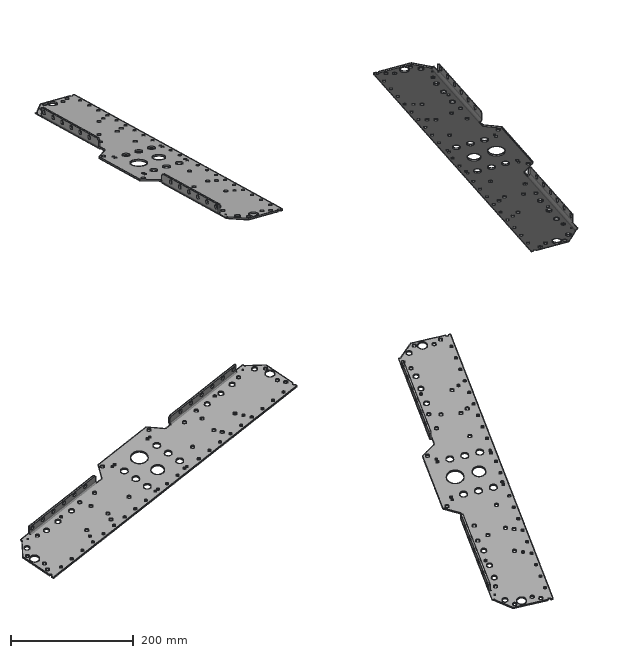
import cadquery as cq
import math

INCH = 25.4
PITCH = INCH
LENGTH = 23 * PITCH
DEPTH = 4.625 * INCH
THICKNESS = INCH / 8
HALF_LENGTH = LENGTH / 2

BEND_INNER_RADIUS = 1.75
BEND_OUTER_RADIUS = BEND_INNER_RADIUS + THICKNESS
FLANGE_FACE_Y = -96.7
BEND_LINE_Y = FLANGE_FACE_Y + BEND_OUTER_RADIUS
TAB_END_X = 10.5 * PITCH
CORNER_STEP = 1.6
TONGUE_ROOT_HALF_WIDTH = 76.2
TONGUE_TIP_HALF_WIDTH = 57.5
TONGUE_FILLET = 4.0

FLANGE_HEIGHT = 0.75 * INCH
FLANGE_INNER_X = 3.5 * PITCH
FLANGE_OUTER_X = 9.75 * PITCH
FLANGE_CHAMFER = 3.0
FLANGE_HOLE_COUNT = 6
FLANGE_HOLE_DIAMETER = 7.11
FLANGE_HOLE_Z = FLANGE_HEIGHT * 2 / 3
FLANGE_FIRST_HOLE_X = 4.5 * PITCH

REAR_HOLE_DIAMETER = 5.11
REAR_HOLE_Y = -INCH / 4
REAR_ROW_STEPS = 12
REAR_ROW_SKIPPED_STEP = 1

REAR_OPENING_DIAMETER = 22.225
REAR_OPENING_Y = -38.9
FRONT_OPENING_DIAMETER = 28.57
FRONT_OPENING_Y = -79.375

COLUMN_HOLE_DIAMETER = 12.7
COLUMN_X = 38.9
COLUMN_FIRST_Y = -26.0
COLUMN_HOLE_COUNT = 3

SMALL_PIN_DIAMETER = 4.06
SMALL_PIN_PLACES = [(37.8, -8.9), (44.9, -97.9)]
LARGE_PIN_DIAMETER = 5.08
LARGE_PIN_PLACES = [(32.0, -8.9), (39.2, -97.9), (184.15, -19.05), (184.15, -82.55)]
TAB_HOLE_DIAMETER = 2.54
TAB_HOLE_PLACES = [(257.8, -88.9)]
TONGUE_HOLE_DIAMETER = 6.81
TONGUE_HOLE_PLACES = [(55.8, -109.9)]
END_HOLE_DIAMETER = 15.88
END_HOLE_PLACES = [(282.2, -50.8)]
FRONT_HOLE_DIAMETER = 9.63
FRONT_HOLE_PLACES = [(273.05, -76.2), (222.6, -79.375), (195.3, -79.375), (162.8, -79.375)]
BOLT_HOLE_DIAMETER = 6.71
BOLT_HOLE_PLACES = [
    (285.75, -19.05),
    (285.75, -63.5),
    (279.4, -31.75),
    (241.3, -82.55),
    (177.8, -31.75),
    (139.7, -82.55),
    (133.35, -19.05),
    (133.35, -63.5),
    (127.0, -31.75),
    (107.6, -79.0),
    (76.2, -31.75),
]


def make_half_plate():
    """Flat plate on the +X side, with the flange strip cut back to the bend line."""
    corner_x = TAB_END_X + CORNER_STEP
    outline = [
        (0, 0),
        (HALF_LENGTH, 0),
        (HALF_LENGTH, BEND_LINE_Y + HALF_LENGTH - corner_x),
        (corner_x, BEND_LINE_Y),
        (TONGUE_ROOT_HALF_WIDTH, BEND_LINE_Y),
        (TONGUE_TIP_HALF_WIDTH, -DEPTH),
        (0, -DEPTH),
    ]
    plate = cq.Workplane("XY").polyline(outline).close().extrude(THICKNESS)
    tongue_root = cq.selectors.NearestToPointSelector((TONGUE_ROOT_HALF_WIDTH, BEND_LINE_Y, THICKNESS / 2))
    return plate.edges("|Z").edges(tongue_root).fillet(TONGUE_FILLET)


def make_flange():
    """Flange on the +X side, bent up from the bend line, with its row of holes.

    The bent strip runs on past the flange to the end tab, where it is cut off level with the plate top.
    """
    diagonal = math.cos(math.pi / 4)
    bend_centre_z = BEND_OUTER_RADIUS
    inner_face_y = FLANGE_FACE_Y + THICKNESS
    outer_mid = (BEND_LINE_Y - BEND_OUTER_RADIUS * diagonal, bend_centre_z - BEND_OUTER_RADIUS * diagonal)
    inner_mid = (BEND_LINE_Y - BEND_INNER_RADIUS * diagonal, bend_centre_z - BEND_INNER_RADIUS * diagonal)
    flange = (
        cq.Workplane("YZ", origin=(FLANGE_INNER_X, 0, 0))
        .moveTo(BEND_LINE_Y, 0)
        .threePointArc(outer_mid, (FLANGE_FACE_Y, bend_centre_z))
        .lineTo(FLANGE_FACE_Y, FLANGE_HEIGHT)
        .lineTo(inner_face_y, FLANGE_HEIGHT)
        .lineTo(inner_face_y, bend_centre_z)
        .threePointArc(inner_mid, (BEND_LINE_Y, THICKNESS))
        .close()
        .extrude(TAB_END_X - FLANGE_INNER_X)
    )
    above_tab = cq.Workplane("XY").box(
        TAB_END_X - FLANGE_OUTER_X, BEND_OUTER_RADIUS, FLANGE_HEIGHT - THICKNESS, centered=False
    )
    flange = flange.cut(above_tab.translate((FLANGE_OUTER_X, FLANGE_FACE_Y, THICKNESS)))
    flange = flange.faces("<X").edges(">Z").chamfer(FLANGE_CHAMFER)
    places = [(FLANGE_FIRST_HOLE_X + step * PITCH, FLANGE_HOLE_Z) for step in range(FLANGE_HOLE_COUNT)]
    holes = (
        cq.Workplane("XZ", origin=(0, inner_face_y, 0))
        .pushPoints(places)
        .circle(FLANGE_HOLE_DIAMETER / 2)
        .extrude(THICKNESS)
    )
    return flange.cut(holes)


def rear_row_places():
    """Rear row on the +X side, half a pitch off the symmetry plane, with one step left out."""
    steps = [step for step in range(REAR_ROW_STEPS) if step != REAR_ROW_SKIPPED_STEP]
    return [((step + 0.5) * PITCH, REAR_HOLE_Y) for step in steps]


def column_places():
    """Column of holes on the +X side, running forward one pitch at a time."""
    return [(COLUMN_X, COLUMN_FIRST_Y - step * PITCH) for step in range(COLUMN_HOLE_COUNT)]


def both_sides(places):
    """The given places together with their mirror images across X = 0."""
    return places + [(-x, y) for x, y in places]


def drill(body, diameter, places):
    """Cut round holes through the plate thickness at the given (x, y) places."""
    cutters = cq.Workplane("XY").pushPoints(places).circle(diameter / 2).extrude(THICKNESS)
    return body.cut(cutters)


half = make_half_plate().union(make_flange())
result = half.union(half.mirror("YZ"))

result = drill(result, REAR_OPENING_DIAMETER, [(0, REAR_OPENING_Y)])
result = drill(result, FRONT_OPENING_DIAMETER, [(0, FRONT_OPENING_Y)])

SIDE_HOLES = [
    (REAR_HOLE_DIAMETER, rear_row_places()),
    (COLUMN_HOLE_DIAMETER, column_places()),
    (SMALL_PIN_DIAMETER, SMALL_PIN_PLACES),
    (LARGE_PIN_DIAMETER, LARGE_PIN_PLACES),
    (TAB_HOLE_DIAMETER, TAB_HOLE_PLACES),
    (TONGUE_HOLE_DIAMETER, TONGUE_HOLE_PLACES),
    (END_HOLE_DIAMETER, END_HOLE_PLACES),
    (FRONT_HOLE_DIAMETER, FRONT_HOLE_PLACES),
    (BOLT_HOLE_DIAMETER, BOLT_HOLE_PLACES),
]
for hole_diameter, hole_places in SIDE_HOLES:
    result = drill(result, hole_diameter, both_sides(hole_places))